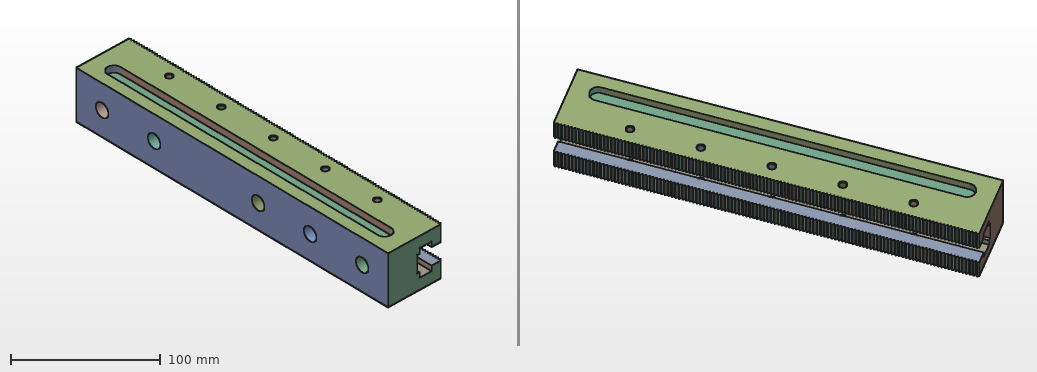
import cadquery as cq

length = 300.0
depth = 50.0
height = 44.0
back = depth / 2
front = -depth / 2
top = height / 2
bottom = -height / 2

tooth_count = 120
tooth_pitch = length / tooth_count
tooth_depth = tooth_pitch / 2

mouth_height = 15.0
undercut_height = 24.0
undercut_start = 10.0
undercut_end = 21.0
channel_depth = 23.0

hole_spacing = length / 6
bore_diameter = 12.0
bore_steps = (-2.5, -1.5, 0.5, 1.5, 2.5)
clamp_hole_diameter = 4.8
clamp_hole_mouth = 6.0
clamp_hole_chamfer = (clamp_hole_mouth - clamp_hole_diameter) / 2
clamp_hole_inset = 12.0
clamp_hole_steps = (-2, -1, 0, 1, 2)

slot_length = 272.0
slot_width = 12.0
slot_depth = 6.0
slot_from_front = 16.0


def toothed_bar():
    """Bar whose back edge is a row of triangular teeth."""
    root = back - tooth_depth
    left = -length / 2
    outline = cq.Workplane("XY", origin=(0, 0, bottom)).moveTo(left, front).lineTo(left, root)
    for tooth in range(tooth_count):
        tooth_start = left + tooth * tooth_pitch
        outline = outline.lineTo(tooth_start + tooth_pitch / 2, back)
        outline = outline.lineTo(tooth_start + tooth_pitch, root)
    return outline.lineTo(length / 2, front).close().extrude(height)


def channel_step(start, end, step_height):
    """Full-length rectangular cut between two distances from the back."""
    step = cq.Workplane("XY").box(length, end - start, step_height)
    return step.translate((0, back - (start + end) / 2, 0))


def channel():
    """Open mouth with a taller undercut behind the two lips."""
    mouth = channel_step(0, channel_depth, mouth_height)
    return mouth.union(channel_step(undercut_start, undercut_end, undercut_height))


def bores():
    """Cross bores from the front face into the channel."""
    centres = [(step * hole_spacing, 0) for step in bore_steps]
    plane = cq.Workplane("XZ", origin=(0, back, 0))
    return plane.pushPoints(centres).circle(bore_diameter / 2).extrude(depth)


def clamp_holes():
    """Vertical holes through both lips of the channel, chamfered at the top."""
    centres = [(step * hole_spacing, back - clamp_hole_inset) for step in clamp_hole_steps]
    bottom_plane = cq.Workplane("XY", origin=(0, 0, bottom))
    shafts = bottom_plane.pushPoints(centres).circle(clamp_hole_diameter / 2).extrude(height)
    top_plane = cq.Workplane("XY", origin=(0, 0, top))
    mouth_circles = top_plane.pushPoints(centres).circle(clamp_hole_mouth / 2)
    return shafts.union(mouth_circles.extrude(-clamp_hole_chamfer, taper=45))


def top_slot():
    """Round-ended blind slot running nearly the whole length."""
    plane = cq.Workplane("XY", origin=(0, front + slot_from_front, top))
    return plane.slot2D(slot_length, slot_width).extrude(-slot_depth)


result = toothed_bar().cut(channel()).cut(bores()).cut(clamp_holes()).cut(top_slot())